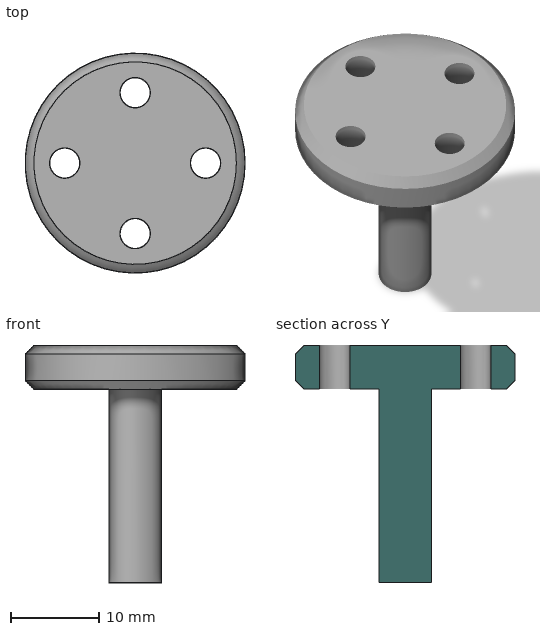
import cadquery as cq

disc_diameter = 25.0
disc_thickness = 5.0
disc_chamfer = 1.0
stem_diameter = 6.0
stem_length = 22.0
hole_diameter = 3.4
hole_circle_radius = 8.0
hole_count = 4


def make_disc():
    """Round head with both rims chamfered, its underside on the XY plane."""
    disc = cq.Workplane("XY").circle(disc_diameter / 2).extrude(disc_thickness)
    return disc.faces("<Z or >Z").edges().chamfer(disc_chamfer)


def make_stem():
    """Plain cylindrical stem hanging down from the underside of the head."""
    return cq.Workplane("XY").circle(stem_diameter / 2).extrude(-stem_length)


def make_hole_cutters():
    """Evenly spaced cylinders, on the X and Y axes, passing through the head."""
    pattern = cq.Workplane("XY").polarArray(hole_circle_radius, 0, 360, hole_count)
    return pattern.circle(hole_diameter / 2).extrude(disc_thickness)


result = make_disc().union(make_stem()).cut(make_hole_cutters())